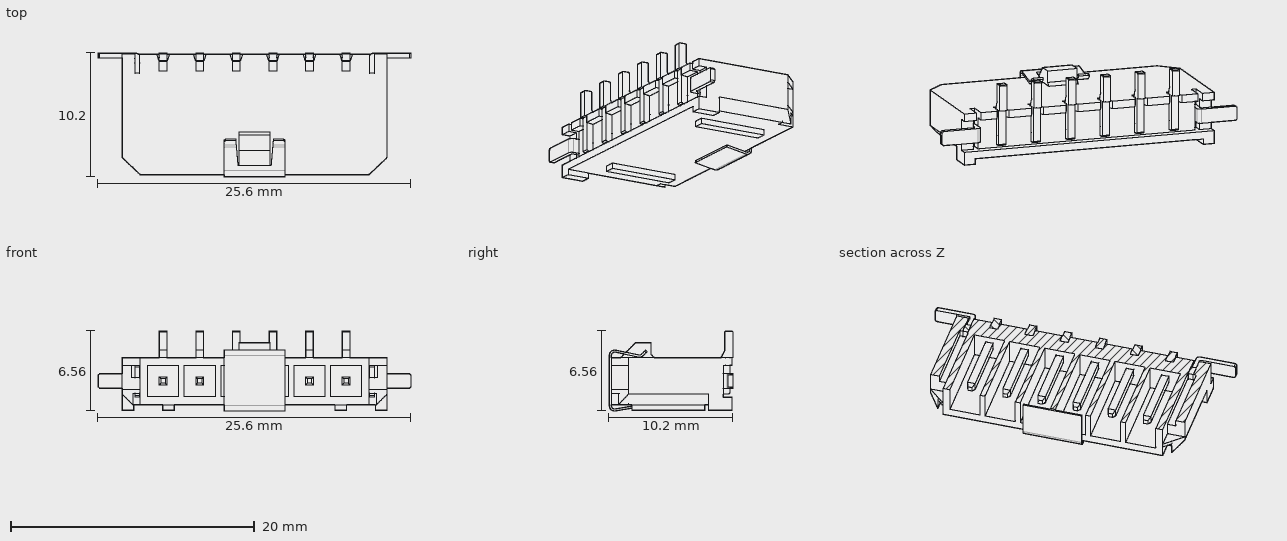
import cadquery as cq
import math


contact_count = 6
pitch = 3.0
row_z = 1.96
contact_xs = [(i - (contact_count - 1) / 2) * pitch for i in range(contact_count)]

housing_width = 21.72
housing_depth = 9.9
housing_height = 3.87
half_width = housing_width / 2
cavity_size = 2.55
cavity_depth = 7.2
wall_top = row_z + cavity_size / 2
wall_bottom = row_z - cavity_size / 2

recess_front = 9.17
recess_bottom = 0.63

corner_width = 1.48
corner_depth = 1.4
corner_x = half_width - corner_width
corner_pocket_bottom = 1.24

side_chamfer = 0.88
corner_notch_height = 0.94
foot_height = 0.46
foot_width = 0.96
foot_front = 7.95
rail_x = 7.06
rail_width = 0.96
rail_front = 1.68
rail_back = 7.66

latch_width = 2.56
latch_top = 5.1
latch_back = 3.25
latch_base_back = 3.52
latch_base_rise = 0.27
latch_ramp_top = 1.97
latch_ramp_foot = 0.76

pin_size = 0.64
pin_tip_y = 1.5
pin_tip_size = 0.36
pin_tip_length = 0.4
board_y = 9.97
tail_top = 6.05
tail_thickness = 0.68
tail_end_chamfer = 0.07
tail_front = board_y - tail_thickness
gusset_top = 4.48
gusset_bottom = 2.9
gusset_front = 8.49
blade_back = 9.73
blade_bottom = 0.87
blade_chamfer = 0.12
relief_front = 9.37
relief_back_width = 1.06
relief_front_width = 0.72

nail_thickness = 0.4
nail_height = 1.2
nail_z = 1.96
nail_bend_outer = 0.3
nail_bend_inner = 0.1
nail_reach = 12.825
nail_tip_chamfer = 0.12
tab_x = 9.42
barb_front = 7.4
barb_back = 8.34
barb_lead_in = 0.14
window_width = 0.7
window_bottom = 2.24

clip_width = 5.0
clip_gauge = 0.18
clip_bottom = -0.51
clip_top = 4.5
clip_bend = 0.36
upper_arm_angle = 12.0
lower_arm_angle = 9.5
lower_arm_back = 2.2
contact_y = 2.4
curl_bend = 0.3
curl_back = 2.87
curl_rise = 0.46
prong_chamfer = 0.13
fork_front = latch_ramp_foot
fork_back = 3.1
fork_half_front = 1.36
fork_half_back = 1.56
tolerance = 1e-6


def box(x0, x1, y0, y1, z0, z1):
    """Box between two opposite corners."""
    return cq.Workplane("XY").box(x1 - x0, y1 - y0, z1 - z0, centered=False).translate((x0, y0, z0))


def centered_box(x, width, y0, y1, z0, z1):
    """Box whose X extent is centred on x."""
    return box(x - width / 2, x + width / 2, y0, y1, z0, z1)


def side_profile(points, width, x=0):
    """Extrude a closed (y, z) outline along X, centred on x."""
    return cq.Workplane("YZ").polyline(points).close().extrude(width / 2, both=True).translate((x, 0, 0))


def both_sides(shape):
    """The shape together with its mirror image across the YZ plane."""
    return shape.union(shape.mirror("YZ"))


def housing_block():
    """Plain block with its two mating-side corners cut off."""
    outline = [
        (corner_x, 0),
        (half_width, corner_depth),
        (half_width, housing_depth),
        (-half_width, housing_depth),
        (-half_width, corner_depth),
        (-corner_x, 0),
    ]
    return cq.Workplane("XY").polyline(outline).close().extrude(housing_height)


def latch():
    """Ramp that the mating plug snaps over."""
    outline = [
        (latch_ramp_foot, housing_height),
        (latch_ramp_top, latch_top),
        (latch_back, latch_top),
        (latch_back, housing_height + latch_base_rise),
        (latch_base_back, housing_height),
    ]
    return side_profile(outline, latch_width)


def feet():
    """Board-side corner feet and the two rails under the floor."""
    foot = box(half_width - foot_width, half_width, foot_front, housing_depth, -foot_height, recess_bottom)
    rail = centered_box(rail_x, rail_width, rail_front, rail_back, -foot_height, 0)
    return both_sides(foot.union(rail))


def side_chamfer_cut():
    """Lower side edges, chamfered from the mating face up to the feet."""
    outline = [
        (half_width - side_chamfer, 0),
        (half_width, 0),
        (half_width, side_chamfer),
    ]
    return both_sides(cq.Workplane("XZ").polyline(outline).close().extrude(-foot_front))


def corner_cut():
    """Pocket and lower notch in each front corner."""
    pocket = box(corner_x, half_width, 0, corner_depth, corner_pocket_bottom, wall_top)
    notch = box(corner_x, half_width - side_chamfer, 0, corner_depth, 0, corner_notch_height)
    return both_sides(pocket.union(notch))


def nail_slot_cut():
    """Slot and barb seat for each nail tab, with the two holes that lead to them from the corner."""
    slot_end = tab_x + nail_thickness
    slot = box(tab_x, slot_end, barb_back, housing_depth, recess_bottom, housing_height)
    barb_seat = box(tab_x, slot_end, barb_front, barb_back, recess_bottom, wall_top)
    window = box(corner_x, corner_x + window_width, corner_depth, barb_front, window_bottom, wall_top)
    lower_hole = box(tab_x, slot_end, corner_depth, barb_front, recess_bottom, corner_notch_height)
    return both_sides(slot.union(barb_seat).union(window).union(lower_hole))


def contact_cut(x):
    """Plug cavity, contact bore and tail slot of one contact."""
    half_pin = pin_size / 2
    half_front = relief_front_width / 2
    half_back = relief_back_width / 2
    cavity = centered_box(x, cavity_size, 0, cavity_depth, wall_bottom, wall_top)
    bore = centered_box(x, pin_size, cavity_depth, recess_front, row_z - half_pin, row_z + half_pin)
    slot = centered_box(x, pin_size, gusset_front, housing_depth, row_z - half_pin, housing_height)
    relief = (
        cq.Workplane("XY", origin=(x, 0, wall_top))
        .polyline(
            [
                (-half_front, relief_front),
                (half_front, relief_front),
                (half_back, housing_depth),
                (-half_back, housing_depth),
            ]
        )
        .close()
        .extrude(housing_height - wall_top)
    )
    return cavity.union(bore).union(slot).union(relief)


def build_housing():
    """Housing with one cavity per contact and a recess across its board side."""
    recess = centered_box(0, housing_width, recess_front, housing_depth, recess_bottom, wall_top)
    housing = housing_block().cut(side_chamfer_cut()).union(feet()).union(latch())
    housing = housing.cut(recess).cut(corner_cut()).cut(nail_slot_cut())
    for x in contact_xs:
        housing = housing.cut(contact_cut(x))
    return housing


def build_contact(x):
    """Square pin with a pyramid tip, bent up through a gusset into a solder tail."""
    half_pin = pin_size / 2
    outline = [
        (pin_tip_y + pin_tip_length, row_z - half_pin),
        (recess_front, row_z - half_pin),
        (recess_front, blade_bottom),
        (blade_back - blade_chamfer, blade_bottom),
        (blade_back, blade_bottom + blade_chamfer),
        (blade_back, housing_height),
        (board_y, housing_height),
        (board_y, tail_top),
        (tail_front, tail_top),
        (tail_front, gusset_top),
        (gusset_front, gusset_bottom),
        (gusset_front, row_z + half_pin),
        (pin_tip_y + pin_tip_length, row_z + half_pin),
    ]
    tip = (
        cq.Workplane("XZ", origin=(x, pin_tip_y, row_z))
        .rect(pin_tip_size, pin_tip_size)
        .workplane(offset=-pin_tip_length)
        .rect(pin_size, pin_size)
        .loft()
    )
    blank = side_profile(outline, pin_size, x).faces(">Z").edges("|X").chamfer(tail_end_chamfer)
    return blank.union(tip)


def build_right_nail():
    """L-shaped strip: a wing along X on the board plane and a barbed tab into the housing."""
    bottom = nail_z - nail_height / 2
    wing = box(tab_x, nail_reach, board_y - nail_thickness, board_y, bottom, bottom + nail_height)
    tab = box(tab_x, tab_x + nail_thickness, barb_front, board_y, bottom, bottom + nail_height)
    nail = wing.union(tab)
    outer_bend = cq.selectors.NearestToPointSelector((tab_x, board_y, nail_z))
    inner_bend = cq.selectors.NearestToPointSelector(
        (tab_x + nail_thickness, board_y - nail_thickness, nail_z)
    )
    nail = nail.edges("|Z").edges(outer_bend).fillet(nail_bend_outer)
    nail = nail.edges("|Z").edges(inner_bend).fillet(nail_bend_inner)
    nail = nail.faces(">X").edges("|Y").chamfer(nail_tip_chamfer)
    barb = box(tab_x, tab_x + nail_thickness, barb_front, barb_back, recess_bottom, wall_top)
    barb = barb.faces("<Y").edges("|X").chamfer(barb_lead_in)
    return nail.union(barb)


def bend_corner(arm_angle):
    """Distance along Z from a front bend's centre to the corner where its two mid-plane tangents meet."""
    angle = math.radians(arm_angle)
    return clip_bend * (1 + math.sin(angle)) / math.cos(angle)


def arm_approach(arm_angle, y):
    """Distance along Z from the bend's highest mid-plane point back towards the housing, at y."""
    angle = math.radians(arm_angle)
    front_y = -clip_gauge / 2
    return (y - front_y) * math.tan(angle) + clip_bend - bend_corner(arm_angle)


def build_clip():
    """Sprung sheet-metal cap: flat front, a forked upper arm with curled prongs and a plain lower arm."""
    half_gauge = clip_gauge / 2
    apex_top = clip_top - half_gauge
    apex_bottom = clip_bottom + half_gauge
    corners = [
        (curl_back, housing_height + half_gauge + curl_rise),
        (contact_y, apex_top - arm_approach(upper_arm_angle, contact_y)),
        (-half_gauge, apex_top - clip_bend + bend_corner(upper_arm_angle)),
        (-half_gauge, apex_bottom + clip_bend - bend_corner(lower_arm_angle)),
        (lower_arm_back, apex_bottom + arm_approach(lower_arm_angle, lower_arm_back)),
    ]
    points = [cq.Vector(0, y, z) for y, z in corners]
    path = cq.Wire.makePolygon(points)
    front_corners = [v for v in path.Vertices() if abs(v.Y - points[2].y) < tolerance]
    path = path.fillet(clip_bend, front_corners)
    contact_corner = [v for v in path.Vertices() if abs(v.Y - contact_y) < tolerance]
    path = path.fillet(curl_bend, contact_corner)
    strip = (
        cq.Workplane(cq.Plane(points[0], xDir=(1, 0, 0), normal=points[1] - points[0]))
        .rect(clip_width, clip_gauge)
        .sweep(cq.Workplane(path))
    )
    tip_edges = strip.faces(cq.selectors.NearestToPointSelector(points[0].toTuple())).edges("not |X")
    strip = tip_edges.chamfer(prong_chamfer)
    fork = (
        cq.Workplane("XY", origin=(0, 0, housing_height))
        .polyline(
            [
                (-fork_half_front, fork_front),
                (fork_half_front, fork_front),
                (fork_half_back, fork_back),
                (-fork_half_back, fork_back),
            ]
        )
        .close()
        .extrude(latch_top - housing_height)
    )
    return strip.cut(fork)


right_nail = build_right_nail()
left_nail = right_nail.mirror("YZ")
housing = build_housing()
clip = build_clip()
contacts = [build_contact(x) for x in contact_xs]
result = cq.Compound.makeCompound(
    [
        housing.val(),
        *[contact.val() for contact in contacts],
        left_nail.val(),
        right_nail.val(),
        clip.val(),
    ]
)